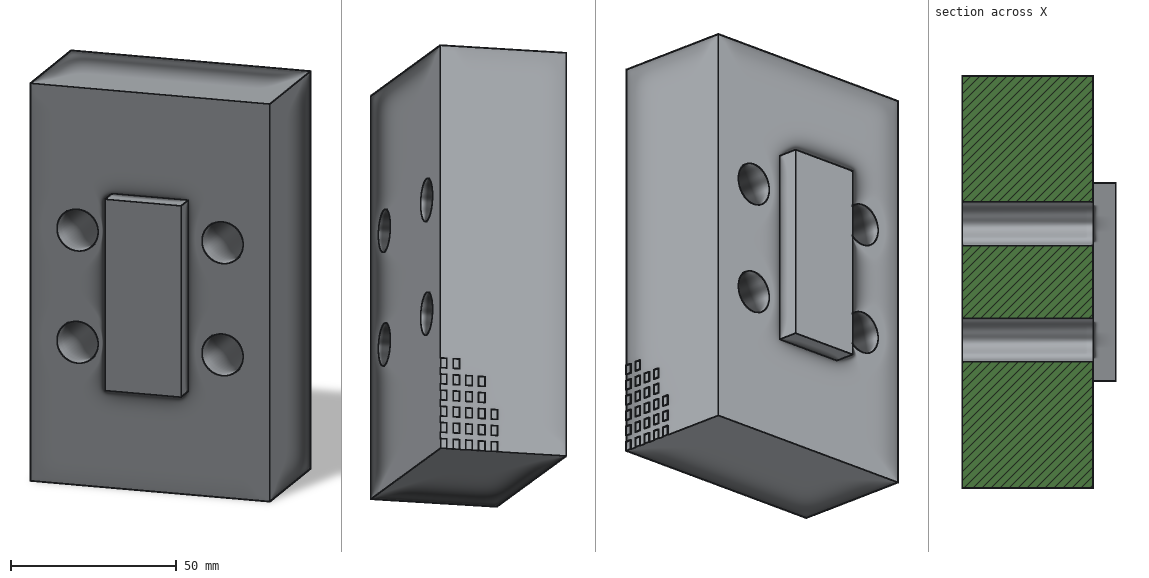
import cadquery as cq

block_width = 76.0
block_depth = 39.5
block_height = 124.4

key_width = 24.1
key_height = 59.8
key_projection = 6.8

hole_diameter = 13.0
hole_spacing_x = 46.0
hole_spacing_z = 35.1

pad_thickness = 0.2
pad_width = 2.0
pad_height = 3.0
pad_pitch_y = 2 * pad_width
pad_pitch_z = 5.0
pads_per_row = [5, 5, 5, 4, 4, 2]

centre_x = block_width / 2
centre_z = block_height / 2


def make_block():
    return cq.Workplane("XY").box(block_width, block_depth, block_height, centered=False)


def make_key():
    return (
        cq.Workplane("XZ", origin=(centre_x, 0, centre_z))
        .rect(key_width, key_height)
        .extrude(key_projection)
    )


def make_holes():
    return (
        cq.Workplane("XZ", origin=(centre_x, 0, centre_z))
        .rect(hole_spacing_x, hole_spacing_z, forConstruction=True)
        .vertices()
        .circle(hole_diameter / 2)
        .extrude(-block_depth)
    )


def make_pads():
    """Rows of pads starting flush with the back face and the base."""
    centres = [
        (block_depth - pad_width / 2 - column * pad_pitch_y, pad_height / 2 + row * pad_pitch_z)
        for row, count in enumerate(pads_per_row)
        for column in range(count)
    ]
    return (
        cq.Workplane("YZ")
        .pushPoints(centres)
        .rect(pad_width, pad_height)
        .extrude(-pad_thickness)
    )


result = make_block().union(make_key()).cut(make_holes()).union(make_pads())